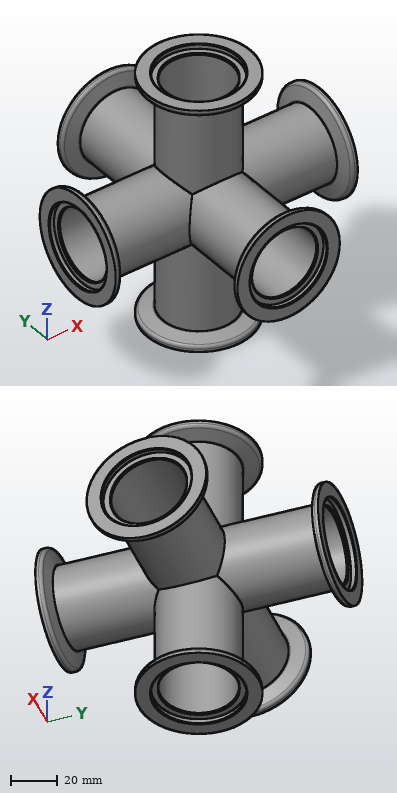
import cadquery as cq
import math

overall_length = 130.0
half_length = overall_length / 2

tube_diameter = 38.1
tube_bore_diameter = 34.8

flange_diameter = 55.0
flange_thickness = 5.0
flange_back_diameter = 39.6
back_taper_angle = 15.0
rim_fillet = 1.7
flange_bore_diameter = 35.4

recess_diameter = 41.2
recess_depth = 2.6
recess_chamfer = 0.4

shoulder_thickness = 0.9

taper_height = (flange_diameter - flange_back_diameter) / 2 * math.tan(math.radians(back_taper_angle))
rim_height = flange_thickness - taper_height
socket_floor_depth = recess_depth + shoulder_thickness
tube_length = overall_length - 2 * socket_floor_depth

axes = [cq.Vector(1, 0, 0), cq.Vector(0, 1, 0), cq.Vector(0, 0, 1)]
arm_directions = [axis * side for axis in axes for side in (1, -1)]


def through_cylinder(axis, diameter):
    """Cylinder centred on the origin, as long as the cross from tube end to tube end."""
    start = axis * (-tube_length / 2)
    return cq.Workplane(obj=cq.Solid.makeCylinder(diameter / 2, tube_length, start, axis))


def make_cross():
    """Six-way tube: three crossing tubes with open, crossing bores."""
    cross = through_cylinder(axes[0], tube_diameter)
    for axis in axes[1:]:
        cross = cross.union(through_cylinder(axis, tube_diameter))
    for axis in axes:
        cross = cross.cut(through_cylinder(axis, tube_bore_diameter))
    return cross


def make_flange(direction):
    """Clamp flange on one arm, with its sealing face at the outer end of the arm."""
    rim_radius = flange_diameter / 2
    back_radius = flange_back_diameter / 2
    tube_radius = tube_diameter / 2
    bore_radius = flange_bore_diameter / 2
    recess_radius = recess_diameter / 2

    taper_angle = math.radians(back_taper_angle)
    fillet_reach = rim_fillet * math.tan((math.pi / 2 - taper_angle) / 2)
    fillet_start_depth = rim_height - fillet_reach
    fillet_end_radius = rim_radius - fillet_reach * math.cos(taper_angle)
    fillet_end_depth = rim_height + fillet_reach * math.sin(taper_angle)

    inward = direction * -1
    sideways = cq.Vector(inward.y, inward.z, inward.x)
    section_plane = cq.Plane(
        origin=direction * half_length,
        xDir=sideways,
        normal=sideways.cross(inward),
    )

    section = (
        cq.Workplane(section_plane)
        .moveTo(recess_radius + recess_chamfer, 0)
        .lineTo(rim_radius, 0)
        .lineTo(rim_radius, fillet_start_depth)
        .tangentArcPoint((fillet_end_radius, fillet_end_depth), relative=False)
        .lineTo(back_radius, flange_thickness)
        .lineTo(tube_radius, flange_thickness)
        .lineTo(tube_radius, socket_floor_depth)
        .lineTo(bore_radius, socket_floor_depth)
        .lineTo(bore_radius, recess_depth)
        .lineTo(recess_radius, recess_depth)
        .lineTo(recess_radius, recess_chamfer)
        .close()
    )
    return section.revolve(360, (0, 0), (0, 1))


cross = make_cross()
flanges = [make_flange(direction) for direction in arm_directions]

result = cq.Compound.makeCompound([cross.val(), *[flange.val() for flange in flanges]])